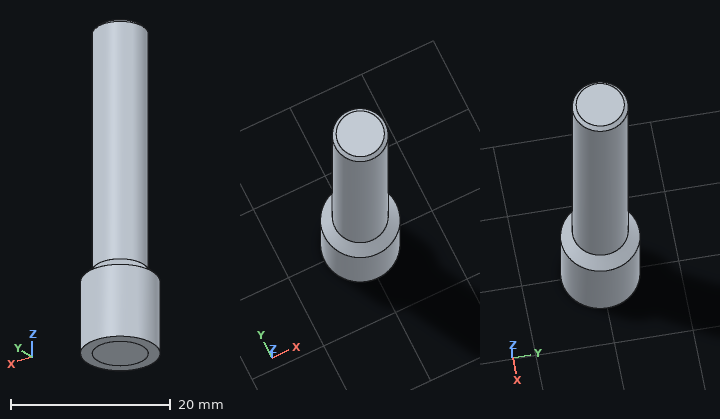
import cadquery as cq

total_height = 45.0
sleeve_diameter = 10.0
sleeve_straight_height = 10.0
pin_diameter = 7.0
pin_tip_chamfer = 0.5

shoulder_height = (sleeve_diameter - pin_diameter) / 2
sleeve_height = sleeve_straight_height + shoulder_height


def make_pin():
    """Straight round pin over the full height, chamfered at its top end."""
    return (
        cq.Workplane("XY")
        .circle(pin_diameter / 2)
        .extrude(total_height)
        .faces(">Z")
        .chamfer(pin_tip_chamfer)
    )


def make_sleeve():
    """Sleeve around the foot of the pin, its wall tapering to an edge at the top."""
    bore_radius = pin_diameter / 2
    outer_radius = sleeve_diameter / 2
    half_section = [
        (bore_radius, 0),
        (outer_radius, 0),
        (outer_radius, sleeve_straight_height),
        (bore_radius, sleeve_height),
    ]
    return cq.Workplane("XZ").polyline(half_section).close().revolve(360, (0, 0), (0, 1))


pin = make_pin()
sleeve = make_sleeve()

result = cq.Compound.makeCompound([pin.val(), sleeve.val()])